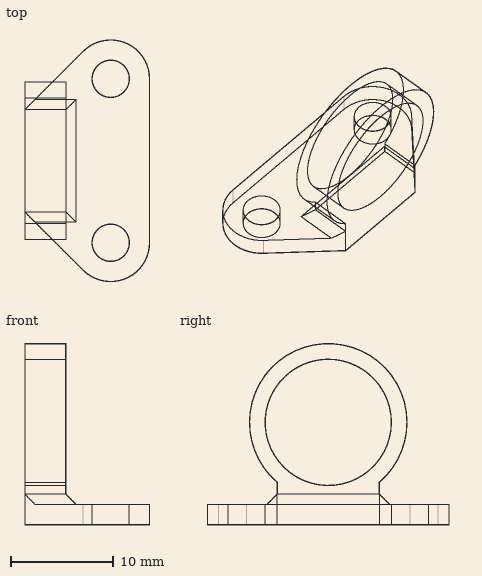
import cadquery as cq
import math

plate_length = 23.6
plate_width = 12.17
plate_thickness = 2.0
ear_radius = 3.8
mount_hole_diameter = 3.6

total_height = 17.7
ring_diameter = 15.38
bore_diameter = 12.3
ring_depth = 4.0

foot_size = 1.0

ear_x = plate_width - ear_radius
ear_y = plate_length / 2 - ear_radius
ring_center_z = total_height - ring_diameter / 2
diagonal = ear_radius * math.cos(math.radians(45))
tangent_x = ear_x - diagonal
tangent_y = ear_y + diagonal
pedestal_half_width = tangent_y - tangent_x
pedestal_width = 2 * pedestal_half_width


def plate_outline(height):
    """Solid with the plate outline: straight back, round ears, 45-degree sides."""
    arc_angle = math.radians(67.5)
    mid_x = ear_x + ear_radius * math.cos(arc_angle)
    mid_y = ear_y + ear_radius * math.sin(arc_angle)
    return (
        cq.Workplane("XY")
        .moveTo(0, -pedestal_half_width)
        .lineTo(tangent_x, -tangent_y)
        .threePointArc((mid_x, -mid_y), (plate_width, -ear_y))
        .lineTo(plate_width, ear_y)
        .threePointArc((mid_x, mid_y), (tangent_x, tangent_y))
        .lineTo(0, pedestal_half_width)
        .close()
        .extrude(height)
    )


def x_cylinder(diameter):
    """Cylinder along X on the ring axis."""
    return (
        cq.Workplane("YZ")
        .center(0, ring_center_z)
        .circle(diameter / 2)
        .extrude(ring_depth)
    )


plate = plate_outline(plate_thickness)

pedestal = cq.Workplane("XY").box(
    ring_depth, pedestal_width, ring_center_z, centered=(False, True, False)
)

foot = (
    cq.Workplane("XY")
    .workplane(offset=plate_thickness)
    .rect(2 * (ring_depth + foot_size), pedestal_width + 2 * foot_size)
    .extrude(foot_size, taper=45)
    .intersect(plate_outline(plate_thickness + foot_size))
)

mount_holes = (
    cq.Workplane("XY")
    .pushPoints([(ear_x, -ear_y), (ear_x, ear_y)])
    .circle(mount_hole_diameter / 2)
    .extrude(plate_thickness)
)

result = (
    plate.union(pedestal)
    .union(foot)
    .union(x_cylinder(ring_diameter))
    .cut(x_cylinder(bore_diameter))
    .cut(mount_holes)
)